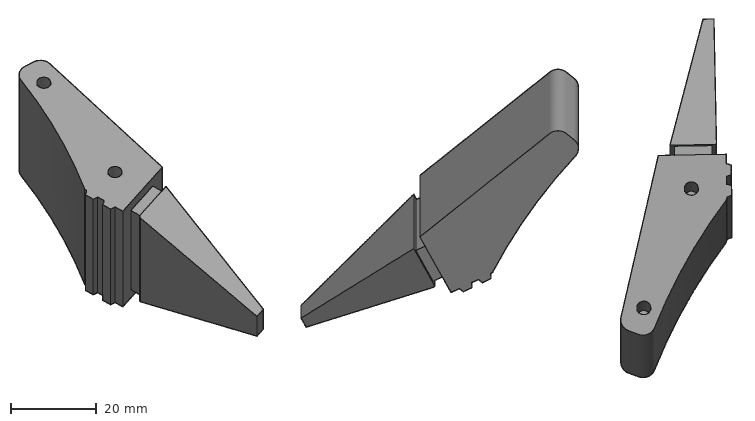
import cadquery as cq
import math

height = 37.0
nose_top = 3.8
nose_bottom = -4.1
nose_radius = 2.9
belly_start = 3.0
heel = (42.1, 10.1)
end_length = 15.9
tilt = 22
belly_end = (37.8, -8.6)
pin_diameter = 3.3
pin_depth = 8.15
pin_positions = [(6.4, 0), (37.4, 0)]

tooth_pitch = 4.65
tooth_count = 2
tooth_drop = 1.2
land_run = 2.0
crest_run = 2.1
undercut_run = 0.8

blade_start = 2.8
blade_width = 10.9
blade_height = 32.75
blade_reach = 36.9
bevel_length = 0.5
tip_width = 2.6
tip_height = 7.7
neck_length = 3.0
neck_inset = 1.1

tilt_angle = math.radians(tilt)
slope = math.tan(tilt_angle)
toe = (
    heel[0] + end_length * math.sin(tilt_angle),
    heel[1] - end_length * math.cos(tilt_angle),
)


def on_land(x):
    """Point at x on the inclined line that carries the tooth lands."""
    return (x, toe[1] - (toe[0] - x) * slope)


def tooth_points(front_x):
    """Outline of one tooth, from its front face to its undercut root."""
    front = on_land(front_x)
    crest_end_x = front_x - crest_run
    crest_drop = tooth_drop + crest_run * slope
    return [
        front,
        (front_x, front[1] - tooth_drop),
        (crest_end_x, front[1] - crest_drop),
        on_land(crest_end_x - undercut_run),
    ]


def make_body():
    outline = cq.Workplane("XY").moveTo(0, nose_bottom).lineTo(0, nose_top).lineTo(*heel).lineTo(*toe)
    for index in range(tooth_count):
        for point in tooth_points(toe[0] - land_run - index * tooth_pitch):
            outline = outline.lineTo(*point)
    outline = outline.lineTo(*belly_end)
    run = belly_end[0] - belly_start
    drop = nose_bottom - belly_end[1]
    belly_radius = (run**2 + drop**2) / (2 * drop)
    half_sweep = math.asin(run / belly_radius) / 2
    belly_middle = (
        belly_start + belly_radius * math.sin(half_sweep),
        nose_bottom - belly_radius * (1 - math.cos(half_sweep)),
    )
    outline = outline.threePointArc(belly_middle, (belly_start, nose_bottom)).close()
    body = outline.extrude(height / 2, both=True)
    body = body.edges("|Z and <X").fillet(nose_radius)
    pins = (
        cq.Workplane("XY", origin=(0, 0, height / 2))
        .pushPoints(pin_positions)
        .circle(pin_diameter / 2)
        .extrude(-pin_depth)
    )
    return body.cut(pins)


def make_neck():
    """Neck along local X, with the heel at the origin; it overlaps the body."""
    overlap = 0.8
    return cq.Workplane("XY").box(
        neck_length + overlap,
        blade_width - 2 * neck_inset,
        blade_height - 2 * neck_inset,
    ).translate(((neck_length - overlap) / 2, -blade_start - blade_width / 2, 0))


def make_blade():
    """Blade along local X, tapering on its upper face and on both Z sides."""
    upper = -blade_start
    lower = upper - blade_width
    bevel_end = neck_length + bevel_length
    bevel_rise = bevel_length * slope
    plan = (
        cq.Workplane("XY")
        .polyline([
            (bevel_end, lower),
            (neck_length, lower + bevel_rise),
            (neck_length, upper),
            (blade_reach, lower + tip_width),
            (blade_reach, lower),
        ])
        .close()
        .extrude(blade_height / 2, both=True)
    )
    side = (
        cq.Workplane("XZ")
        .polyline([
            (neck_length, -blade_height / 2),
            (blade_reach, -tip_height / 2),
            (blade_reach, tip_height / 2),
            (neck_length, blade_height / 2),
        ])
        .close()
        .extrude(blade_start + blade_width)
    )
    return plan.intersect(side)


head = make_neck().union(make_blade())
head = head.rotate((0, 0, 0), (0, 0, 1), tilt).translate((heel[0], heel[1], 0))
result = make_body().union(head)